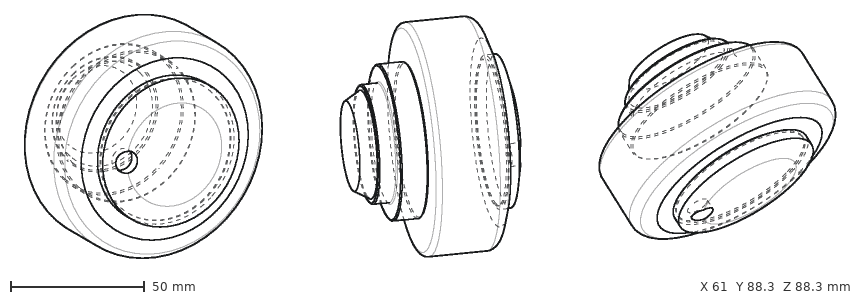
import cadquery as cq
import math

STUB_END = 5.9
JOURNAL_END = 13.0
ROLLER_START = 23.6
ROLLER_END = 53.7
DISC_START = 54.4
DISC_END = 58.45
LENGTH = 61.0

TIP_RADIUS = 17.0
STUB_RADIUS = 20.5
JOURNAL_RADIUS = 45 / 2
COLLAR_RADIUS = 59.0 / 2
ROLLER_RADIUS = 88.3 / 2
ROLLER_FACE_RADIUS = 35.5
NECK_RADIUS = 55.3 / 2
DISC_RADIUS = 58.0 / 2
COVER_FACE_RADIUS = 20.1

CHAMFER = 0.5
SHOULDER_FILLET = 0.5
INNER_FILLET = 4.0 / 2
OUTER_FILLET = 8.0 / 2
ROLLER_TAPER = math.radians(20)

HOLE_DIAMETER = 8.6
HOLE_OFFSET = 19.9
HOLE_DEPTH = 4.4


def revolve_about_x(outline):
    """Close an (axial position, radius) outline and revolve it about X."""
    return outline.close().revolve(360, (0, 0, 0), (1, 0, 0))


def make_cylinder(start, end, radius):
    """Solid cylinder along X between two axial positions."""
    return cq.Workplane("YZ", origin=(start, 0, 0)).circle(radius).extrude(end - start)


def make_cone(start, end, start_radius, end_radius):
    """Solid truncated cone along X."""
    outline = (
        cq.Workplane("XY")
        .moveTo(start, 0)
        .lineTo(start, start_radius)
        .lineTo(end, end_radius)
        .lineTo(end, 0)
    )
    return revolve_about_x(outline)


def make_shoulder_fillet():
    """Concave fillet between the journal and the collar face, solid down to the axis."""
    fillet_start = JOURNAL_END - SHOULDER_FILLET
    outline = (
        cq.Workplane("XY")
        .moveTo(JOURNAL_END, 0)
        .lineTo(fillet_start, 0)
        .lineTo(fillet_start, JOURNAL_RADIUS)
        .radiusArc((JOURNAL_END, JOURNAL_RADIUS + SHOULDER_FILLET), -SHOULDER_FILLET)
    )
    return revolve_about_x(outline)


def make_stub():
    """Conical tip, chamfered journal with a shoulder fillet, and chamfered collar."""
    tip = make_cone(0, STUB_END, TIP_RADIUS, STUB_RADIUS)
    journal = make_cylinder(STUB_END, JOURNAL_END, JOURNAL_RADIUS).faces("<X").chamfer(CHAMFER)
    collar = make_cylinder(JOURNAL_END, ROLLER_START, COLLAR_RADIUS)
    collar = collar.faces("<X or >X").chamfer(CHAMFER)
    return tip.union(journal).union(make_shoulder_fillet()).union(collar)


def make_roller():
    """Roller with a rounded inner edge and a rounded, tapered outer edge."""
    arc_center_r = ROLLER_RADIUS - OUTER_FILLET
    taper_start_r = arc_center_r + OUTER_FILLET * math.sin(ROLLER_TAPER)
    taper_start_x = ROLLER_END - (taper_start_r - ROLLER_FACE_RADIUS) * math.tan(ROLLER_TAPER)
    arc_center_x = taper_start_x - OUTER_FILLET * math.cos(ROLLER_TAPER)
    outline = (
        cq.Workplane("XY")
        .moveTo(ROLLER_START, 0)
        .lineTo(ROLLER_START, ROLLER_RADIUS - INNER_FILLET)
        .radiusArc((ROLLER_START + INNER_FILLET, ROLLER_RADIUS), INNER_FILLET)
        .lineTo(arc_center_x, ROLLER_RADIUS)
        .tangentArcPoint((taper_start_x, taper_start_r), relative=False)
        .lineTo(ROLLER_END, ROLLER_FACE_RADIUS)
        .lineTo(ROLLER_END, 0)
    )
    return revolve_about_x(outline)


def make_cover():
    """Neck, cover disc and its conical outer face."""
    neck = make_cylinder(ROLLER_END, DISC_START, NECK_RADIUS)
    disc = make_cylinder(DISC_START, DISC_END, DISC_RADIUS)
    cone = make_cone(DISC_END, LENGTH, DISC_RADIUS, COVER_FACE_RADIUS)
    return neck.union(disc).union(cone)


def make_cover_hole():
    """Cutter for the blind hole on the -Y side of the cover."""
    hole = make_cylinder(LENGTH - HOLE_DEPTH, LENGTH, HOLE_DIAMETER / 2)
    return hole.translate((0, -HOLE_OFFSET, 0))


body = make_stub().union(make_roller()).union(make_cover()).cut(make_cover_hole())

result = body.translate((-LENGTH / 2, 0, 0))